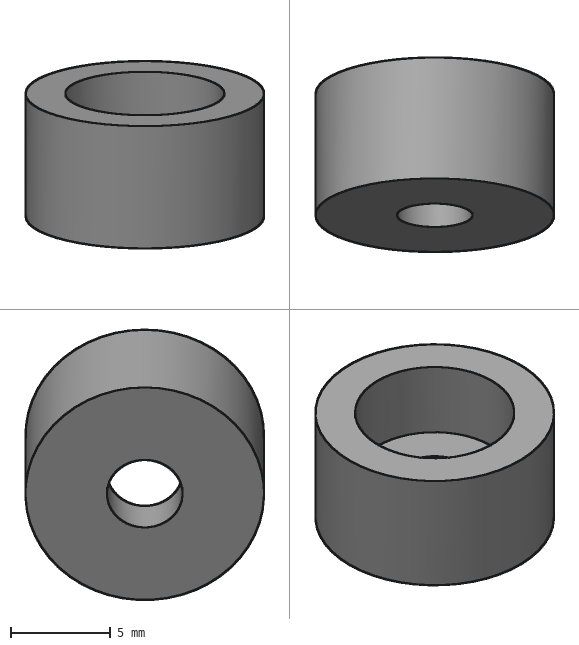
import cadquery as cq

outer_diameter = 12.0
height = 6.4
counterbore_diameter = 8.0
counterbore_depth = 4.0
through_hole_diameter = 3.8


def make_body():
    """Plain cylinder standing on the XY plane."""
    return cq.Workplane("XY").circle(outer_diameter / 2).extrude(height)


def cut_stepped_bore(body):
    """Through hole on the axis, counterbored from the top face."""
    return body.faces(">Z").workplane().cboreHole(
        through_hole_diameter, counterbore_diameter, counterbore_depth
    )


result = cut_stepped_bore(make_body())